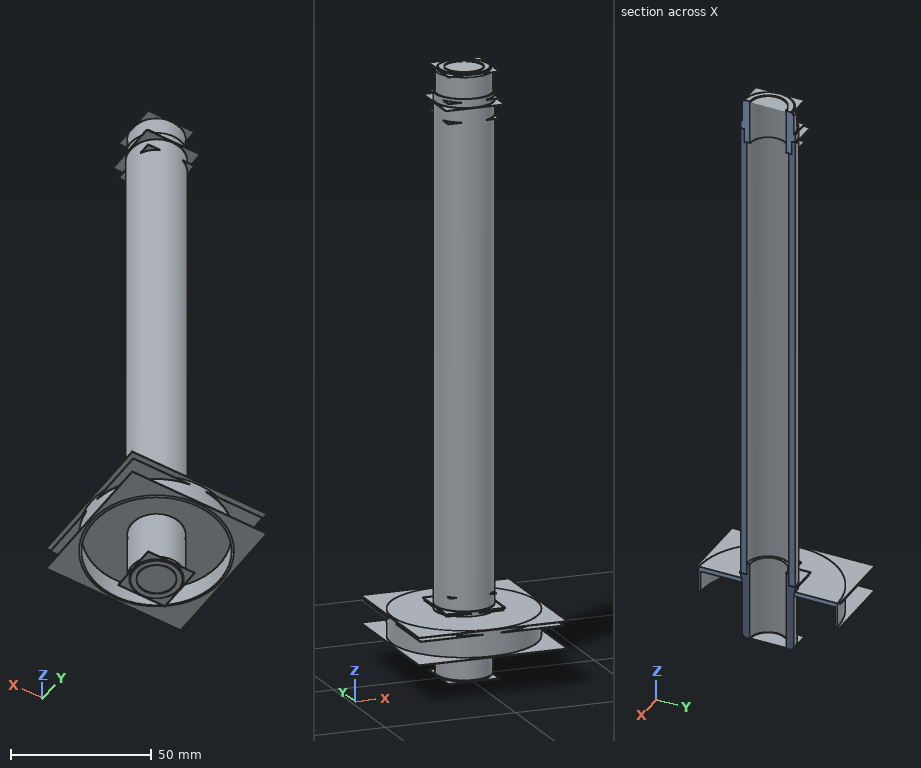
import cadquery as cq


total_height = 227.0
flange_bottom = 14.5
flange_top = 25.0
tube_bottom = 26.8
tube_top = 214.7
collar_top = 218.0
lower_spigot_top = 31.8
upper_spigot_bottom = 209.3

flange_diameter = 55.4
flange_wall = 1.0
flange_roof = 2.0
tube_diameter = 22.0
nipple_diameter = 20.9
nipple_chamfer = 1.1
passage_diameter = 14.3
lower_spigot_diameter = 16.5
upper_spigot_diameter = 18.5

plate_thickness = 0.2
end_lip = 0.2
flange_plate_side = 57.2
flange_roof_plate_side = 55.0
tube_plate_side = 22.7
nipple_plate_side = 19.7
lower_collar_plate_side = 21.8
lower_spigot_plate_side = 17.7
lower_collar_plate_top = 26.0
upper_collar_plate_top = 216.8


def rod(diameter, bottom, top):
    """Upright cylinder on the Z axis between two heights."""
    return cq.Workplane("XY").workplane(offset=bottom).circle(diameter / 2).extrude(top - bottom)


def plate(side, top):
    """Thin square plate centred on the Z axis, its upper face at the given height."""
    bottom = top - plate_thickness
    return cq.Workplane("XY").workplane(offset=bottom).rect(side, side).extrude(plate_thickness)


def make_flange():
    """Round cup, open below, with the lower nipple's hole through its roof."""
    roof_bottom = flange_top - flange_roof
    cup = rod(flange_diameter, flange_bottom, flange_top)
    cup = cup.union(plate(flange_plate_side, flange_top))
    cup = cup.union(plate(flange_roof_plate_side, roof_bottom + plate_thickness))
    cup = cup.union(plate(flange_plate_side, flange_bottom + plate_thickness))
    cup = cup.cut(rod(flange_diameter - 2 * flange_wall, flange_bottom, roof_bottom))
    return cup.cut(rod(nipple_diameter, flange_bottom, flange_top))


def make_tube():
    """Long tube with a bore for the lower spigot and a wider socket for the upper one."""
    tube = rod(tube_diameter, tube_bottom, tube_top)
    tube = tube.union(plate(tube_plate_side, tube_top))
    tube = tube.union(plate(tube_plate_side, tube_bottom + plate_thickness))
    tube = tube.union(plate(nipple_plate_side, upper_spigot_bottom))
    tube = tube.union(plate(lower_spigot_plate_side, lower_spigot_top + plate_thickness))
    tube = tube.cut(rod(lower_spigot_diameter, tube_bottom, tube_top))
    return tube.cut(rod(upper_spigot_diameter, upper_spigot_bottom, tube_top))


def make_lower_connector():
    """Nipple below the flange, collar on top of it and spigot in the tube's bore."""
    nipple = rod(nipple_diameter, 0, flange_top).faces("<Z").chamfer(nipple_chamfer)
    collar = rod(tube_diameter, flange_top, tube_bottom)
    collar = collar.union(plate(lower_collar_plate_side, lower_collar_plate_top))
    spigot = rod(lower_spigot_diameter, tube_bottom, lower_spigot_top)
    connector = nipple.union(collar).union(spigot)
    connector = connector.cut(rod(passage_diameter, 0, lower_spigot_top))
    return connector.union(plate(nipple_plate_side, end_lip + plate_thickness))


def make_upper_connector():
    """Nipple at the free end, collar on the tube's rim and spigot in the tube's socket."""
    nipple = rod(nipple_diameter, collar_top, total_height).faces(">Z").chamfer(nipple_chamfer)
    collar = rod(tube_diameter, tube_top, collar_top)
    collar = collar.union(plate(nipple_plate_side, upper_collar_plate_top))
    spigot = rod(upper_spigot_diameter, upper_spigot_bottom, tube_top)
    connector = nipple.union(collar).union(spigot)
    connector = connector.cut(rod(passage_diameter, upper_spigot_bottom, total_height))
    return connector.union(plate(nipple_plate_side, total_height - end_lip))


flange = make_flange()
tube = make_tube()
lower_connector = make_lower_connector()
upper_connector = make_upper_connector()

result = cq.Compound.makeCompound(
    [flange.val(), tube.val(), lower_connector.val(), upper_connector.val()]
)